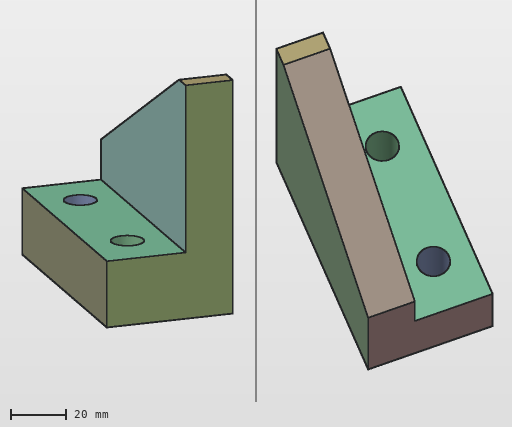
import cadquery as cq
import math

length = 90.0
depth = 48.0
height = 88.0

plate_thickness = 18.0
top_flat_length = 7.0
slope_angle = math.radians(30)
slope_run = length - top_flat_length
low_end_height = height - slope_run * math.tan(slope_angle)

base_height = 25.0
ledge_depth = depth - plate_thickness

hole_diameter = 12.0
hole_spacing = 50.0


def make_base():
    """Full-depth block with its front left bottom corner at the origin."""
    return cq.Workplane("XY").box(length, depth, base_height, centered=False)


def make_plate():
    """Upright plate rising to a short flat at the +X end."""
    return (
        cq.Workplane("XZ", origin=(0, ledge_depth, 0))
        .moveTo(0, 0)
        .lineTo(length, 0)
        .lineTo(length, height)
        .lineTo(slope_run, height)
        .lineTo(0, low_end_height)
        .close()
        .extrude(-plate_thickness)
    )


def make_holes():
    """Two vertical through holes in a row along X."""
    return (
        cq.Workplane("XY")
        .center(length / 2, ledge_depth / 2)
        .rarray(hole_spacing, 0.9, 2, 1)
        .circle(hole_diameter / 2)
        .extrude(base_height)
    )


result = make_base().union(make_plate()).cut(make_holes())